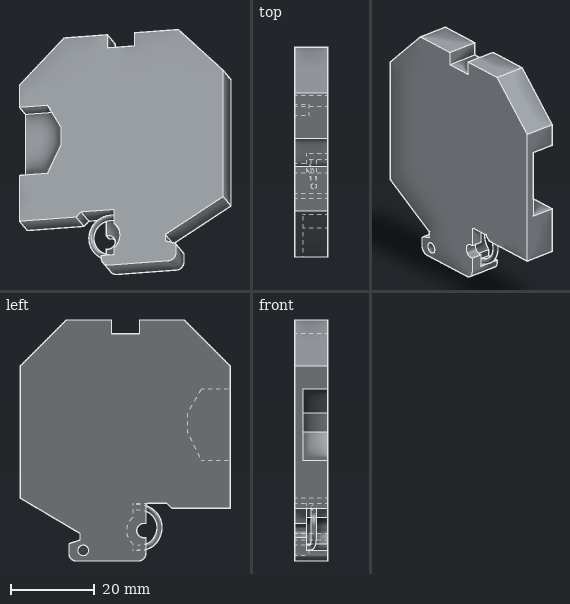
import cadquery as cq
import math

thickness = 7.9
depth = 50.0
height = 57.5
front_y = -depth / 2
back_y = depth / 2
top_chamfer = 11.0

slot_front_y = -3.4
slot_back_y = 3.2
slot_depth = 3.3

ledge_z = 12.6
undercut_z = 13.8
undercut_front_y = -9.9
undercut_slope = 1.2
bevel_top_z = 15.0
neck_y = 10.8
bevel_bottom_z = 6.6
toe_root_z = 5.05
toe_y = 13.45
toe_tip_z = 4.2
toe_radius = 0.5
foot_front_y = -4.95
foot_radius = 1.9
undercut_radius = 0.65

toe_hole_y = 10.0
toe_hole_z = 2.6
toe_hole_diameter = 2.55
toe_hole_depth = 3.45

notch_y = -4.4
notch_z = 7.3
notch_radius = 1.65
recess_x = 2.8
recess_back_y = -1.85
recess_floor_z = 2.55
recess_round_radius = 4.1

pocket_x = 1.95
pocket_bottom_z = 24.05
pocket_top_z = 41.0
pocket_mouth_depth = 6.9
pocket_taper_depth = 3.3
pocket_end_bottom_z = 30.75
pocket_end_top_z = 35.3

wire_diameter = 1.25
wire_x = 4.55
hook_y = -3.4
hook_z = 8.05
hook_radius = 4.8
hook_bend_angle = 20.0
wire_end_y = -3.45
bend_start_pull = 3.75
bend_end_pull = 1.15


def side_profile(x):
    """Sketch plane at the given X whose local axes are Y and Z."""
    return cq.Workplane("YZ", origin=(x, 0, 0))


def make_blank():
    """Full-thickness outline with the rounded corners of the foot."""
    slot_floor_z = height - slot_depth
    outline = [
        (back_y - top_chamfer, height),
        (slot_back_y, height),
        (slot_back_y, slot_floor_z),
        (slot_front_y, slot_floor_z),
        (slot_front_y, height),
        (front_y + top_chamfer, height),
        (front_y, height - top_chamfer),
        (front_y, ledge_z),
        (undercut_front_y - undercut_slope, ledge_z),
        (undercut_front_y, undercut_z),
        (foot_front_y, undercut_z),
        (foot_front_y, 0),
        (toe_y, 0),
        (toe_y, toe_tip_z),
        (neck_y, toe_root_z),
        (neck_y, bevel_bottom_z),
        (back_y, bevel_top_z),
        (back_y, height - top_chamfer),
    ]
    blank = side_profile(0).polyline(outline).close().extrude(thickness)
    rounded_corners = [
        (foot_front_y, undercut_z, undercut_radius),
        (foot_front_y, 0, foot_radius),
        (toe_y, 0, foot_radius),
        (toe_y, toe_tip_z, toe_radius),
    ]
    for y, z, radius in rounded_corners:
        corner = cq.selectors.NearestToPointSelector((thickness / 2, y, z))
        blank = blank.edges("|X").edges(corner).fillet(radius)
    return blank


def make_notch():
    """Round-ended notch through the front of the foot."""
    bore = side_profile(0).center(notch_y, notch_z).circle(notch_radius).extrude(thickness)
    mouth = cq.Workplane("XY").box(
        thickness, notch_y - foot_front_y, 2 * notch_radius, centered=False
    ).translate((0, foot_front_y, notch_z - notch_radius))
    return bore.union(mouth)


def make_recess():
    """Wire chamber behind the side wall, with a round pocket in its back."""
    mouth_y = foot_front_y - undercut_radius
    chamber = cq.Workplane("XY").box(
        thickness - recess_x,
        recess_back_y - mouth_y,
        undercut_z - recess_floor_z,
        centered=False,
    ).translate((recess_x, mouth_y, recess_floor_z))
    round_pocket = (
        side_profile(recess_x)
        .center(notch_y, notch_z)
        .circle(recess_round_radius)
        .extrude(thickness - recess_x)
    )
    behind_chamber = cq.Workplane("XY").box(
        thickness - recess_x, recess_round_radius, 2 * recess_round_radius, centered=False
    ).translate((recess_x, recess_back_y, notch_z - recess_round_radius))
    return chamber.union(round_pocket.intersect(behind_chamber))


def make_pocket():
    """Cable pocket, open at the front and on the +X side."""
    mouth_end_y = front_y + pocket_mouth_depth
    end_y = mouth_end_y + pocket_taper_depth
    outline = [
        (front_y, pocket_bottom_z),
        (mouth_end_y, pocket_bottom_z),
        (end_y, pocket_end_bottom_z),
        (end_y, pocket_end_top_z),
        (mouth_end_y, pocket_top_z),
        (front_y, pocket_top_z),
    ]
    return side_profile(pocket_x).polyline(outline).close().extrude(thickness - pocket_x)


def make_toe_hole():
    return (
        side_profile(0)
        .center(toe_hole_y, toe_hole_z)
        .circle(toe_hole_diameter / 2)
        .extrude(toe_hole_depth)
    )


def make_housing():
    housing = make_blank()
    for cutter in (make_notch(), make_recess(), make_pocket(), make_toe_hole()):
        housing = housing.cut(cutter)
    return housing


def make_wire():
    """Hook from the back of the recess, round the front and sideways into its wall."""
    bend = math.radians(hook_bend_angle)
    root = cq.Vector(wire_x, recess_back_y, hook_z + hook_radius)
    arc_top = cq.Vector(wire_x, hook_y, hook_z + hook_radius)
    arc_front = cq.Vector(wire_x, hook_y - hook_radius, hook_z)
    arc_end = cq.Vector(
        wire_x, hook_y - hook_radius * math.cos(bend), hook_z - hook_radius * math.sin(bend)
    )
    wall_end = cq.Vector(recess_x, wire_end_y, hook_z - hook_radius)
    down_and_back = cq.Vector(0, math.sin(bend), -math.cos(bend))
    toward_wall = cq.Vector(-1, 0, 0)
    path = cq.Wire.assembleEdges([
        cq.Edge.makeLine(root, arc_top),
        cq.Edge.makeThreePointArc(arc_top, arc_front, arc_end),
        cq.Edge.makeBezier([
            arc_end,
            arc_end + down_and_back * bend_start_pull,
            wall_end - toward_wall * bend_end_pull,
            wall_end,
        ]),
    ])
    section = cq.Workplane(cq.Plane(root, xDir=(1, 0, 0), normal=(0, -1, 0)))
    return section.circle(wire_diameter / 2).sweep(cq.Workplane(path))


housing = make_housing()
wire = make_wire()

result = cq.Compound.makeCompound([housing.val(), wire.val()])